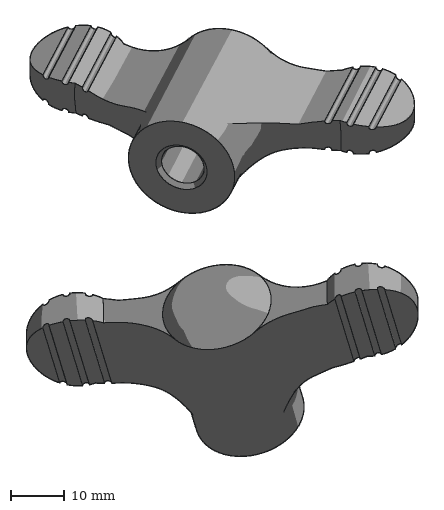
import cadquery as cq
import math


HUB_RADIUS = 10.5
TOTAL_LENGTH = 35.6
DOME_RADIUS = 15.0
DOME_DROP = DOME_RADIUS - math.sqrt(DOME_RADIUS**2 - HUB_RADIUS**2)
HUB_LENGTH = TOTAL_LENGTH - DOME_DROP

BORE_DIAMETER = 8.38
BORE_DEPTH = 20.0
BORE_MOUTH_DIAMETER = 10.1
BORE_CHAMFER = (BORE_MOUTH_DIAMETER - BORE_DIAMETER) / 2

SPAN = 75.0
PAD_RADIUS = 9.4
PAD_X = SPAN / 2 - PAD_RADIUS
PAD_Y = TOTAL_LENGTH - PAD_RADIUS

BACK_ARC_RADIUS = 60.0
BACK_ARC_START = 8.0
FILLET_START_Y = 5.9
FILLET_OUTER_RADIUS = 15.5
FILLET_OUTER_Y = 13.1
FRONT_EDGE_RADIUS = 26.3
FRONT_EDGE_Y = PAD_Y - math.sqrt(PAD_RADIUS**2 - (PAD_X - FRONT_EDGE_RADIUS) ** 2)

UPPER_FOOT_X = 7.2
UPPER_ROOT_RADIUS = 12.0
UPPER_ROOT_END_X = 14.7
UPPER_CREST_START = (18.7, 4.05)
UPPER_CREST = (26.5, 4.65)
UPPER_TIP_Z = 2.5
LOWER_FOOT_X = 8.1
LOWER_ROOT_RADIUS = 14.5
LOWER_ROOT_END_X = 21.4
LOWER_CREST = (28.5, -2.38)
LOWER_TIP_Z = -1.05

GROOVE_PITCH = 4.15
GROOVE_XS = [PAD_X + step * GROOVE_PITCH for step in (-1, 0, 1)]
GROOVE_RADIUS = 0.65


def arc_height(start, middle, end, x, side):
    """Z at x on the arc through three points; side is +1 for its top half, -1 for its bottom half."""
    (ax, az), (bx, bz), (cx, cz) = start, middle, end
    det = 2 * (ax * (bz - cz) + bx * (cz - az) + cx * (az - bz))
    a_sq, b_sq, c_sq = ax**2 + az**2, bx**2 + bz**2, cx**2 + cz**2
    center_x = (a_sq * (bz - cz) + b_sq * (cz - az) + c_sq * (az - bz)) / det
    center_z = (a_sq * (cx - bx) + b_sq * (ax - cx) + c_sq * (bx - ax)) / det
    radius = math.hypot(ax - center_x, az - center_z)
    return center_z + side * math.sqrt(radius**2 - (x - center_x) ** 2)


def root_arc(foot_x, radius, end_x):
    """Start, middle and end of a hollow arc that leaves the top of the hub tangentially at foot_x."""
    foot_z = math.sqrt(HUB_RADIUS**2 - foot_x**2)
    reach = (HUB_RADIUS + radius) / HUB_RADIUS
    center_x = foot_x * reach
    center_z = foot_z * reach
    mid_x = (foot_x + end_x) / 2
    mid_z = center_z - math.sqrt(radius**2 - (mid_x - center_x) ** 2)
    end_z = center_z - math.sqrt(radius**2 - (end_x - center_x) ** 2)
    return (foot_x, foot_z), (mid_x, mid_z), (end_x, end_z)


def mirror_z(point):
    return point[0], -point[1]


def half_turn(solid):
    return solid.rotate((0, 0, 0), (0, 1, 0), 180)


def make_hub():
    return (
        cq.Workplane("XY")
        .lineTo(HUB_RADIUS, 0)
        .lineTo(HUB_RADIUS, HUB_LENGTH)
        .radiusArc((0, TOTAL_LENGTH), -DOME_RADIUS)
        .close()
        .revolve(360, (0, 0, 0), (0, 1, 0))
    )


def make_arm_section():
    """Wavy thickness profile of the +X arm with its grooves, extruded along the hub axis."""
    tip_x = SPAN / 2
    upper_tip = (tip_x, UPPER_TIP_Z)
    lower_tip = (tip_x, LOWER_TIP_Z)
    upper_foot, upper_mid, upper_end = root_arc(UPPER_FOOT_X, UPPER_ROOT_RADIUS, UPPER_ROOT_END_X)
    lower_arc = root_arc(LOWER_FOOT_X, LOWER_ROOT_RADIUS, LOWER_ROOT_END_X)
    lower_foot, lower_mid, lower_end = [mirror_z(point) for point in lower_arc]

    section = (
        cq.Workplane("XZ")
        .lineTo(*upper_foot)
        .threePointArc(upper_mid, upper_end)
        .lineTo(*UPPER_CREST_START)
        .threePointArc(UPPER_CREST, upper_tip)
        .lineTo(*lower_tip)
        .threePointArc(LOWER_CREST, lower_end)
        .threePointArc(lower_mid, lower_foot)
        .close()
        .extrude(-TOTAL_LENGTH)
    )

    groove_centers = []
    for x in GROOVE_XS:
        groove_centers.append((x, arc_height(UPPER_CREST_START, UPPER_CREST, upper_tip, x, 1)))
        groove_centers.append((x, arc_height(lower_end, LOWER_CREST, lower_tip, x, -1)))
    grooves = (
        cq.Workplane("XZ")
        .pushPoints(groove_centers)
        .circle(GROOVE_RADIUS)
        .extrude(-TOTAL_LENGTH)
    )
    return section.cut(grooves)


def make_arm_outline():
    """Swept outline of the arms, closed by a round pad at the +X end."""
    back_y = HUB_LENGTH + BACK_ARC_RADIUS
    back_mid_x = (BACK_ARC_START + PAD_X) / 2
    back_mid_y = back_y - math.sqrt(BACK_ARC_RADIUS**2 - (back_mid_x - BACK_ARC_START) ** 2)
    back_end_y = back_y - math.sqrt(BACK_ARC_RADIUS**2 - (PAD_X - BACK_ARC_START) ** 2)
    front_slope = (FRONT_EDGE_Y - FILLET_OUTER_Y) / (FRONT_EDGE_RADIUS - FILLET_OUTER_RADIUS)
    front_end_y = FRONT_EDGE_Y + front_slope * (PAD_X - FRONT_EDGE_RADIUS)

    fillet_dx = FILLET_OUTER_RADIUS - HUB_RADIUS
    fillet_dy = FILLET_OUTER_Y - FILLET_START_Y
    fillet_radius = (fillet_dx**2 + fillet_dy**2) / (2 * fillet_dx)

    swept = (
        cq.Workplane("XY")
        .moveTo(0, FILLET_START_Y)
        .lineTo(HUB_RADIUS, FILLET_START_Y)
        .radiusArc((FILLET_OUTER_RADIUS, FILLET_OUTER_Y), fillet_radius)
        .lineTo(PAD_X, front_end_y)
        .lineTo(PAD_X, back_end_y)
        .threePointArc((back_mid_x, back_mid_y), (BACK_ARC_START, HUB_LENGTH))
        .lineTo(0, HUB_LENGTH)
        .close()
        .revolve(360, (0, 0, 0), (0, 1, 0))
    )
    pad = (
        cq.Workplane("XY")
        .center(PAD_X, PAD_Y)
        .circle(PAD_RADIUS)
        .extrude(HUB_RADIUS, both=True)
    )
    return swept.union(pad)


def make_bore():
    bore_radius = BORE_DIAMETER / 2
    return (
        cq.Workplane("XY")
        .lineTo(BORE_MOUTH_DIAMETER / 2, 0)
        .lineTo(bore_radius, BORE_CHAMFER)
        .lineTo(bore_radius, BORE_DEPTH)
        .lineTo(0, BORE_DEPTH)
        .close()
        .revolve(360, (0, 0, 0), (0, 1, 0))
    )


arm = make_arm_section().intersect(make_arm_outline())
result = make_hub().union(arm).union(half_turn(arm)).cut(make_bore())